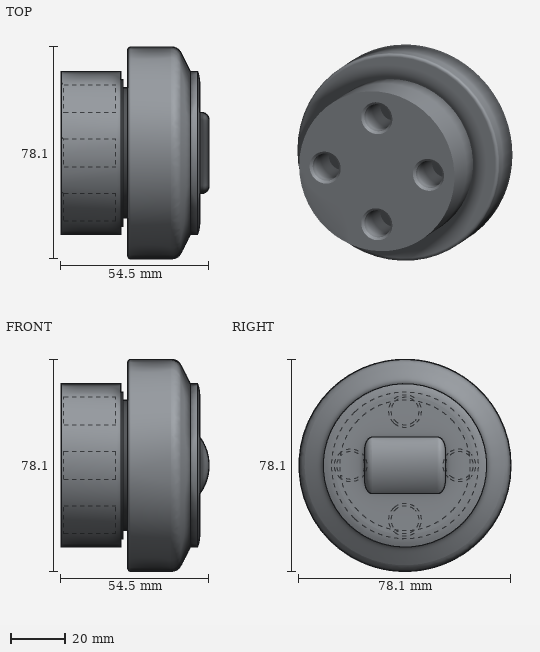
import cadquery as cq
import math

hub_end = 22.0
step_end = 22.8
flange_start = 24.5
cone_start = 43.0
cone_end = 47.6
cap_rim = 50.2
cap_end = 51.1
key_top = 54.5

hub_radius = 30.1
step_radius = 27.0
neck_radius = 24.05
flange_radius = 39.05
cap_face_radius = 25.5
flange_back_fillet = 1.2
flange_front_fillet = 4.0

key_length = 30.0
key_radius = 17.5
key_edge_fillet = 3.0

hole_count = 4
hole_circle_radius = 20.0
hole_diameter = 10.2
hole_mouth_diameter = 12.0
hole_depth = 20.0


def make_body():
    """Turned body: hub, step, neck, flange with a conical shoulder, and cap."""
    cap_edge_height = cap_end - cap_rim
    cap_edge_width = hub_radius - cap_face_radius
    cap_edge_radius = (cap_edge_height**2 + cap_edge_width**2) / (2 * cap_edge_height)
    profile = (
        cq.Workplane("XY")
        .moveTo(0, 0)
        .lineTo(0, hub_radius)
        .lineTo(hub_end, hub_radius)
        .lineTo(hub_end, step_radius)
        .lineTo(step_end, step_radius)
        .lineTo(step_end, neck_radius)
        .lineTo(flange_start, neck_radius)
        .lineTo(flange_start, flange_radius)
        .lineTo(cone_start, flange_radius)
        .lineTo(cone_end, hub_radius)
        .lineTo(cap_rim, hub_radius)
        .radiusArc((cap_end, cap_face_radius), cap_edge_radius)
        .lineTo(cap_end, 0)
        .close()
    )
    body = profile.revolve(360, (0, 0, 0), (1, 0, 0))
    body = round_flange_rim(body, flange_start, flange_back_fillet)
    return round_flange_rim(body, cone_start, flange_front_fillet)


def round_flange_rim(body, rim_x, fillet_radius):
    """Fillet the full-diameter circular edge of the flange at rim_x."""
    margin = 0.1
    reach = flange_radius + margin
    rim = cq.selectors.BoxSelector(
        (rim_x - margin, -reach, -reach),
        (rim_x + margin, reach, reach),
        boundingbox=True,
    )
    outermost = cq.selectors.RadiusNthSelector(-1)
    return body.edges("%CIRCLE").edges(rim).edges(outermost).fillet(fillet_radius)


def make_key():
    """Disc with rounded rims, trimmed so only the part above mid-cap remains."""
    disc = (
        cq.Workplane("XZ")
        .center(key_top - key_radius, 0)
        .circle(key_radius)
        .extrude(key_length / 2, both=True)
        .edges("%CIRCLE")
        .fillet(key_edge_fillet)
    )
    trim_start = (cone_end + cap_end) / 2
    trim = (
        cq.Workplane("XY")
        .box(key_radius, key_length, 2 * key_radius, centered=(False, True, True))
        .translate((trim_start, 0, 0))
    )
    return disc.intersect(trim)


def make_hole():
    """Blind hole along +X from the hub face, with a 45 degree countersunk mouth."""
    hole_radius = hole_diameter / 2
    mouth_radius = hole_mouth_diameter / 2
    mouth_depth = mouth_radius - hole_radius
    return (
        cq.Workplane("XY")
        .moveTo(0, 0)
        .lineTo(0, mouth_radius)
        .lineTo(mouth_depth, hole_radius)
        .lineTo(hole_depth, hole_radius)
        .lineTo(hole_depth, 0)
        .close()
        .revolve(360, (0, 0, 0), (1, 0, 0))
    )


result = make_body().union(make_key())
for index in range(hole_count):
    angle = 2 * math.pi * index / hole_count
    hole_y = hole_circle_radius * math.cos(angle)
    hole_z = hole_circle_radius * math.sin(angle)
    result = result.cut(make_hole().translate((0, hole_y, hole_z)))